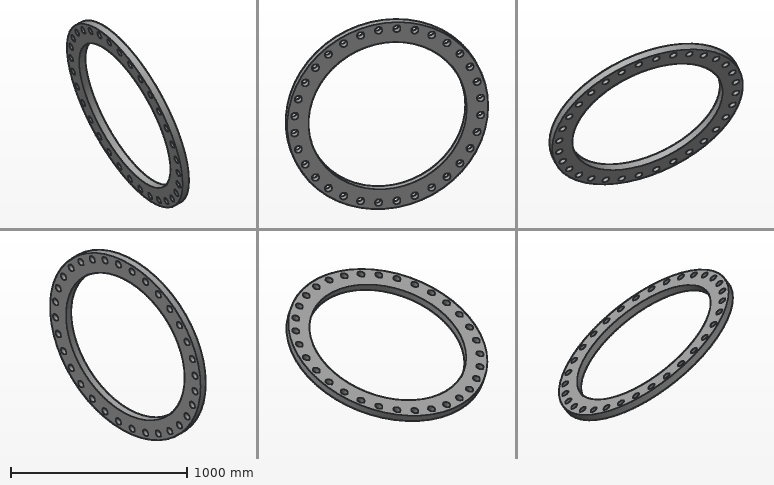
import cadquery as cq

outer_diameter = 1168.4
bore_diameter = 919.23
thickness = 44.48

bolt_circle_diameter = 1085.85
bolt_hole_diameter = 41.27
bolt_hole_count = 32
first_hole_angle = 360 / bolt_hole_count / 2


def back_face_plane():
    """Plane of the +Y face, placed so that the ring is centred on the origin."""
    return cq.Workplane("XZ", origin=(0, thickness / 2, 0))


def make_ring():
    """Plain flat ring, extruded from the +Y face toward -Y."""
    return (
        back_face_plane()
        .circle(outer_diameter / 2)
        .circle(bore_diameter / 2)
        .extrude(thickness)
    )


def make_bolt_holes():
    """Cylinders that cut the evenly spaced through holes."""
    return (
        back_face_plane()
        .polarArray(bolt_circle_diameter / 2, first_hole_angle, 360, bolt_hole_count)
        .circle(bolt_hole_diameter / 2)
        .extrude(thickness)
    )


result = make_ring().cut(make_bolt_holes())